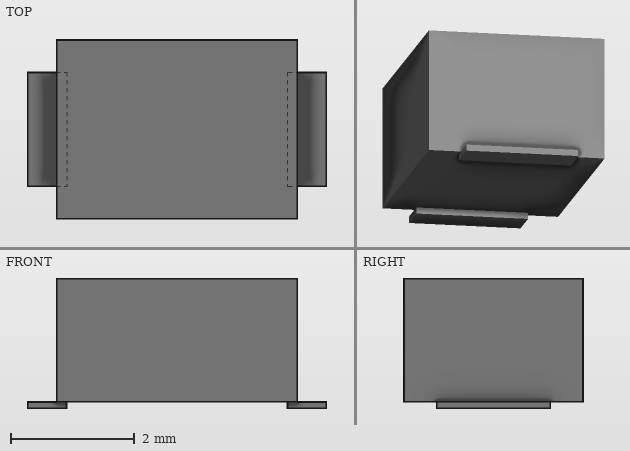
import cadquery as cq

overall_length = 4.84
overall_height = 2.1

terminal_length = 0.635
terminal_width = 1.845
terminal_thickness = 0.1

housing_length = 3.9
housing_width = 2.9
housing_height = overall_height - terminal_thickness


def make_housing():
    """Block whose underside sits on top of the terminals."""
    return (
        cq.Workplane("XY")
        .workplane(offset=terminal_thickness)
        .box(housing_length, housing_width, housing_height, centered=(True, True, False))
    )


def make_terminal(side):
    """Strip at the -X end (side = -1) or the +X end (side = 1)."""
    center_x = side * (overall_length - terminal_length) / 2
    return (
        cq.Workplane("XY")
        .center(center_x, 0)
        .box(terminal_length, terminal_width, terminal_thickness, centered=(True, True, False))
    )


housing = make_housing()
terminals = [make_terminal(side) for side in (-1, 1)]

result = cq.Compound.makeCompound([housing.val(), *[terminal.val() for terminal in terminals]])